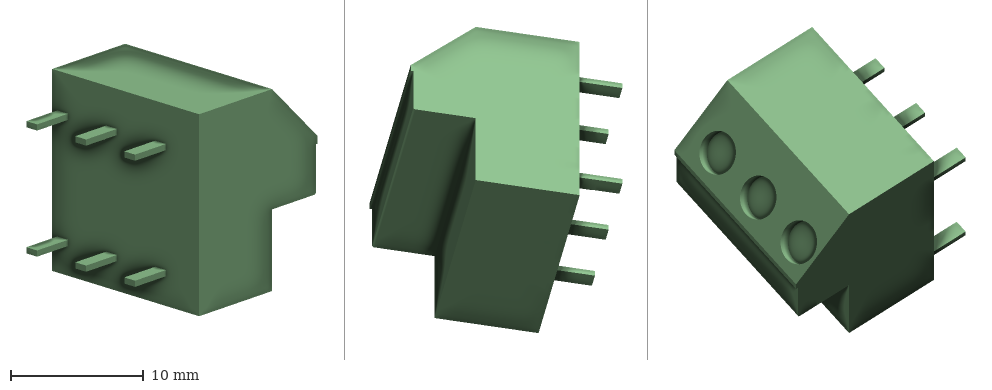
import cadquery as cq

pole_count = 3
width = 15.24
pole_pitch = width / pole_count
height = 16.1
total_depth = 16.4
pin_length = 3.4
body_depth = total_depth - pin_length
slope_size = 5.0
overhang_height = 9.6
lip_height = 0.6
lip_depth = 0.2
overhang_edge_radius = 0.16

screw_diameter = 3.33
screw_depth = 1.0
screw_offset = 1.98
screw_setback = 1.75

pin_width = 1.12
pin_thickness = 0.5
pin_offset = 1.08
lower_pin_height = 2.62
pin_row_count = 2
pin_row_spacing = 10.05

pole_starts = [pole * pole_pitch for pole in range(pole_count)]


def make_housing():
    """Stepped profile in the YZ plane, extruded along the row of poles, with the overhang edge rounded."""
    step_face = body_depth - slope_size
    overhang_face = body_depth - lip_depth
    slope_bottom = height - slope_size
    lip_bottom = slope_bottom - lip_height
    overhang_bottom = height - overhang_height
    profile = [
        (0, 0),
        (step_face, 0),
        (step_face, overhang_bottom),
        (overhang_face, overhang_bottom),
        (overhang_face, lip_bottom),
        (body_depth, lip_bottom),
        (body_depth, slope_bottom),
        (step_face, height),
        (0, height),
    ]
    housing = cq.Workplane("YZ").polyline(profile).close().extrude(width)
    overhang_edge = cq.selectors.NearestToPointSelector((width / 2, overhang_face, overhang_bottom))
    return housing.edges(overhang_edge).fillet(overhang_edge_radius)


def make_screw_recess(pole_start):
    """Flat-bottomed round recess sunk into the sloped face."""
    center = cq.Vector(
        pole_start + screw_offset,
        body_depth - screw_setback,
        height - slope_size + screw_setback,
    )
    inward = cq.Vector(0, -1, -1)
    return cq.Solid.makeCylinder(screw_diameter / 2, screw_depth, center, inward)


def make_pin(pole_start, pin_height):
    """Flat pin standing out of the pin face towards -Y."""
    pin_center = (pole_start + pin_offset, -pin_length / 2, pin_height)
    return cq.Workplane("XY").box(pin_width, pin_length, pin_thickness).translate(pin_center)


result = make_housing()
for start in pole_starts:
    result = result.cut(make_screw_recess(start))
    for row in range(pin_row_count):
        result = result.union(make_pin(start, lower_pin_height + row * pin_row_spacing))